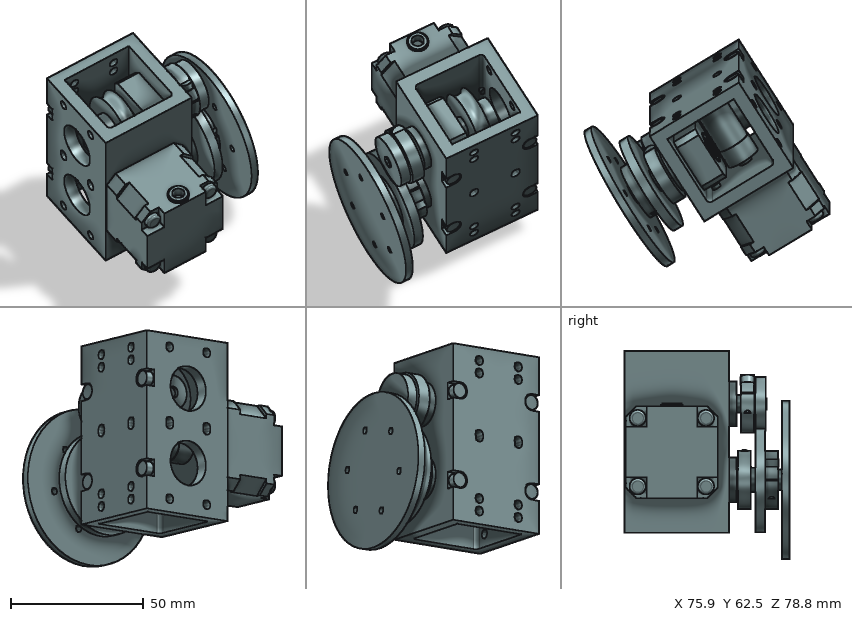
import cadquery as cq
import math


HOUSING_DEPTH = 39.6
HOUSING_BOTTOM = -20.0
HOUSING_TOP = 48.75
HOUSING_MID_Z = (HOUSING_TOP + HOUSING_BOTTOM) / 2
PLATE_LEFT = -20.0
PLATE_THICKNESS = 4.5
PLATE_RIGHT = PLATE_LEFT + PLATE_THICKNESS
HOUSING_RIGHT = 19.05
WALL = 5.0
CAVITY_RADIUS = 1.6
INNER_RIGHT = HOUSING_RIGHT - WALL
BACK_WALL_FRONT = HOUSING_DEPTH - WALL

MOUNT_HOLE_RADIUS = 1.7
MOUNT_SLOT_HEIGHT = 4.6
MOUNT_HALF_PITCH_X = 9.0
MOUNT_HALF_PITCH_Y = 9.0
MOUNT_CENTER_Y = 18.6
MOUNT_HALF_PITCH_Z = 29.3
PLATE_HOLE_HALF_PITCH_Z = 24.4
FRONT_BORE_RADIUS = 8.6

PLATE_SCREW_POCKET_RADIUS = 3.2
PLATE_SCREW_POCKET_DEPTH = 3.5
PLATE_SCREW_HEAD_RADIUS = 2.8
PLATE_SCREW_HEAD_HEIGHT = 3.15
PLATE_SCREW_INSET = 3.2
PLATE_SCREW_HEIGHTS = (-3.9, 30.8)

LOWER_Z = 0.0
UPPER_Z = 28.75
BEARING_RADIUS = 8.5
BEARING_BACK = 42.45
BLOCK_SIZE = 22.05
BLOCK_CHAMFER = 2.2
BLOCK_FRONT = 24.9
SHAFT_RADIUS = 4.0

DISC_RADIUS = 30.0
DISC_FRONT = 59.5
DISC_BACK = 62.5
DISC_HOLE_RADIUS = 1.25
DISC_HOLE_CIRCLE = 17.5
DISC_HOLE_COUNT = 6
DISC_HOLE_START = 12.0

GEAR_FRONT = 49.5
LARGE_GEAR_RADIUS = 19.85
LARGE_GEAR_BACK = 53.2
SMALL_GEAR_RADIUS = 10.2
SMALL_GEAR_BACK = 53.55
LARGE_GEAR_HUB_RADIUS = 4.65
UPPER_NECK_RADIUS = 3.4
UPPER_TIP_RADIUS = 2.2
UPPER_TIP_BACK = 53.9
LOWER_SEAL_RADIUS = 6.4
LOWER_SEAL_FRONT = 24.6
LOWER_SHAFT_FRONT = 23.9
LOWER_BORE_RADIUS = 2.5
SHAFT_BORE_DEPTH = 1.6

COLLAR_RADIUS = 11.0
LOWER_COLLAR_FRONT = 42.9
UPPER_COLLAR_FRONT = 44.1
LOWER_COLLAR_SLIT_ANGLE = 119.0
OUTER_COLLAR_SLIT_ANGLE = 0.0
UPPER_COLLAR_SLIT_ANGLE = 22.0
COLLAR_WIDTH = 4.95
COLLAR_SLIT = 0.6
CLAMP_SCREW_OFFSET = 7.55
CLAMP_FLAT_OFFSET = 8.0
CLAMP_SEAT_DISTANCE = 4.9
CLAMP_HEAD_RADIUS = 2.7
CLAMP_HEAD_END = 7.7
CLAMP_SHANK_RADIUS = 1.5
CLAMP_SHANK_END = 7.2

MOTOR_Y = 17.95
MOTOR_Z = 10.5
MOTOR_SIZE = 34.8
MOTOR_FLANGE_END = 25.7
MOTOR_BODY_END = 38.35
MOTOR_END = 45.9
MOTOR_FLANGE_CHAMFER = 4.0
MOTOR_BODY_CHAMFER = 5.75
MOTOR_SCREW_HALF_PITCH = 12.9
CAP_POCKET_START = 42.1
CAP_POCKET_SIZE = 7.9
CAP_SCREW_HEAD_RADIUS = 3.1
CAP_SCREW_HEAD_HEIGHT = 2.2
CAP_SCREW_HEAD_ROUND = 0.95
SCREW_TIP_RADIUS = 1.65
SCREW_TIP_LENGTH = 1.5
CABLE_X = 41.3
CABLE_RIM_RADIUS = 4.1
CABLE_BUSHING_RADIUS = 3.7
CABLE_HEIGHT = 1.1
CABLE_RIM_HEIGHT = 0.55
CABLE_BORE_RADIUS = 2.4
CABLE_BORE_DEPTH = 3.9

WORM_RADIUS = 6.3
WORM_HUB_RADIUS = 6.5
WORM_HUB_LEFT = 4.95
WORM_LEFT = -12.9
WORM_RIGHT = 12.1
WORM_BEVEL = 0.3
MOTOR_SHAFT_RADIUS = 2.6
WHEEL_RADIUS = 13.2
WHEEL_WAIST_RADIUS = 11.65
WHEEL_FRONT = 15.0
WHEEL_BACK = 21.0
WHEEL_HUB_RADIUS = 6.5
WHEEL_HUB_FRONT = 9.05
WHEEL_BORE_RADIUS = 2.2


def box_between(x0, x1, y0, y1, z0, z1):
    """Box given by its limits along each axis."""
    return cq.Workplane("XY").box(x1 - x0, y1 - y0, z1 - z0, centered=False).translate((x0, y0, z0))


def cylinder_x(radius, x0, x1, y, z):
    return cq.Workplane("YZ", origin=(x0, y, z)).circle(radius).extrude(x1 - x0)


def cylinder_y(radius, y0, y1, z, x=0.0):
    return cq.Workplane("XZ", origin=(x, y0, z)).circle(radius).extrude(y0 - y1)


def make_housing():
    """Channel-shaped housing, open at top and bottom, with the bored front wall."""
    housing = box_between(
        PLATE_RIGHT, HOUSING_RIGHT, 0, HOUSING_DEPTH, HOUSING_BOTTOM, HOUSING_TOP
    )
    cavity = box_between(
        PLATE_RIGHT, INNER_RIGHT, WALL, BACK_WALL_FRONT, HOUSING_BOTTOM, HOUSING_TOP
    )
    housing = housing.cut(cavity.edges("|Z and >X").fillet(CAVITY_RADIUS))
    for z in (LOWER_Z, UPPER_Z):
        housing = housing.cut(cylinder_y(FRONT_BORE_RADIUS, 0, WALL, z))
    for x in (-MOUNT_HALF_PITCH_X, MOUNT_HALF_PITCH_X):
        for dz in (-MOUNT_HALF_PITCH_Z, MOUNT_HALF_PITCH_Z):
            housing = housing.cut(cylinder_y(MOUNT_HOLE_RADIUS, 0, WALL, HOUSING_MID_Z + dz, x))
        slot = (
            cq.Workplane("XZ", origin=(x, 0, HOUSING_MID_Z))
            .slot2D(MOUNT_SLOT_HEIGHT, 2 * MOUNT_HOLE_RADIUS, 90)
            .extrude(-WALL)
        )
        housing = housing.cut(slot)
    return housing


def plate_screw_pocket(y, z, edge_y):
    """Round pocket in the plate's outer face, open to the nearer side edge."""
    pocket_floor = PLATE_LEFT + PLATE_SCREW_POCKET_DEPTH
    pocket = cylinder_x(PLATE_SCREW_POCKET_RADIUS, PLATE_LEFT, pocket_floor, y, z)
    opening = box_between(
        PLATE_LEFT,
        pocket_floor,
        min(y, edge_y),
        max(y, edge_y),
        z - PLATE_SCREW_POCKET_RADIUS,
        z + PLATE_SCREW_POCKET_RADIUS,
    )
    return pocket.union(opening)


def make_cover_plate():
    """Cover plate on the -X side with mounting holes and four screws in open pockets."""
    plate = box_between(PLATE_LEFT, PLATE_RIGHT, 0, HOUSING_DEPTH, HOUSING_BOTTOM, HOUSING_TOP)
    hole_heights = (
        -MOUNT_HALF_PITCH_Z,
        -PLATE_HOLE_HALF_PITCH_Z,
        PLATE_HOLE_HALF_PITCH_Z,
        MOUNT_HALF_PITCH_Z,
    )
    for y in (MOUNT_CENTER_Y - MOUNT_HALF_PITCH_Y, MOUNT_CENTER_Y + MOUNT_HALF_PITCH_Y):
        for dz in hole_heights:
            hole = cylinder_x(MOUNT_HOLE_RADIUS, PLATE_LEFT, PLATE_RIGHT, y, HOUSING_MID_Z + dz)
            plate = plate.cut(hole)
        slot = (
            cq.Workplane("YZ", origin=(PLATE_LEFT, y, HOUSING_MID_Z))
            .slot2D(MOUNT_SLOT_HEIGHT, 2 * MOUNT_HOLE_RADIUS, 90)
            .extrude(PLATE_THICKNESS)
        )
        plate = plate.cut(slot)

    head_base = PLATE_LEFT + PLATE_SCREW_POCKET_DEPTH
    head_top = head_base - PLATE_SCREW_HEAD_HEIGHT
    for z in PLATE_SCREW_HEIGHTS:
        for edge_y, y in (
            (0, PLATE_SCREW_INSET),
            (HOUSING_DEPTH, HOUSING_DEPTH - PLATE_SCREW_INSET),
        ):
            plate = plate.cut(plate_screw_pocket(y, z, edge_y))
            plate = plate.union(cylinder_x(PLATE_SCREW_HEAD_RADIUS, head_top, head_base, y, z))
    return plate


def make_bearing(z):
    """Chamfered bearing block inside the back wall and its round flange behind the wall."""
    half = BLOCK_SIZE / 2
    block = box_between(-half, half, BLOCK_FRONT, BACK_WALL_FRONT, z - half, z + half)
    block = block.edges("|Y").chamfer(BLOCK_CHAMFER)
    return block.union(cylinder_y(BEARING_RADIUS, BACK_WALL_FRONT, BEARING_BACK, z))


def make_collar(front, z, slit_angle):
    """Clamp collar whose radial slit points at slit_angle, in degrees from +X towards +Z."""
    back = front + COLLAR_WIDTH
    middle = front + COLLAR_WIDTH / 2
    collar = cylinder_y(COLLAR_RADIUS, front, back, 0)
    half_slit = COLLAR_SLIT / 2
    collar = collar.cut(box_between(0, COLLAR_RADIUS, front, back, -half_slit, half_slit))
    screw_flat = box_between(
        CLAMP_FLAT_OFFSET, COLLAR_RADIUS, front, back, CLAMP_SEAT_DISTANCE, COLLAR_RADIUS
    )
    collar = collar.cut(screw_flat)

    screw_plane = cq.Workplane("XY", origin=(CLAMP_SCREW_OFFSET, middle, 0))
    head = (
        screw_plane.workplane(offset=CLAMP_SEAT_DISTANCE)
        .circle(CLAMP_HEAD_RADIUS)
        .extrude(CLAMP_HEAD_END - CLAMP_SEAT_DISTANCE)
    )
    shank = (
        screw_plane.workplane(offset=-CLAMP_SHANK_END)
        .circle(CLAMP_SHANK_RADIUS)
        .extrude(CLAMP_SHANK_END + CLAMP_SEAT_DISTANCE)
    )
    collar = collar.union(head).union(shank)
    return collar.rotate((0, 0, 0), (0, 1, 0), -slit_angle).translate((0, 0, z))


def make_disc():
    """Large output disc with a ring of small holes."""
    disc = cylinder_y(DISC_RADIUS, DISC_FRONT, DISC_BACK, LOWER_Z)
    for index in range(DISC_HOLE_COUNT):
        angle = math.radians(DISC_HOLE_START + index * 360 / DISC_HOLE_COUNT)
        x = DISC_HOLE_CIRCLE * math.cos(angle)
        z = LOWER_Z + DISC_HOLE_CIRCLE * math.sin(angle)
        disc = disc.cut(cylinder_y(DISC_HOLE_RADIUS, DISC_FRONT, DISC_BACK, z, x))
    return disc


def make_lower_shaft():
    """Lower shaft with seal ring, two clamp collars, large gear and output disc."""
    parts = [
        cylinder_y(LOWER_SEAL_RADIUS, LOWER_SEAL_FRONT, BLOCK_FRONT, LOWER_Z),
        cylinder_y(LARGE_GEAR_HUB_RADIUS, LOWER_COLLAR_FRONT, GEAR_FRONT, LOWER_Z),
        cylinder_y(LARGE_GEAR_RADIUS, GEAR_FRONT, LARGE_GEAR_BACK, LOWER_Z),
        make_collar(LOWER_COLLAR_FRONT, LOWER_Z, LOWER_COLLAR_SLIT_ANGLE),
        make_collar(LARGE_GEAR_BACK, LOWER_Z, OUTER_COLLAR_SLIT_ANGLE),
        make_disc(),
    ]
    shaft = cylinder_y(SHAFT_RADIUS, LOWER_SHAFT_FRONT, DISC_FRONT, LOWER_Z)
    for part in parts:
        shaft = shaft.union(part)
    bore_end = LOWER_SHAFT_FRONT + SHAFT_BORE_DEPTH
    return shaft.cut(cylinder_y(LOWER_BORE_RADIUS, LOWER_SHAFT_FRONT, bore_end, LOWER_Z))


def make_worm_wheel():
    """Worm wheel with a concave rim and a bored front hub, revolved about the upper axis."""
    middle = (WHEEL_FRONT + WHEEL_BACK) / 2
    wheel = (
        cq.Workplane("XY")
        .moveTo(0, WHEEL_FRONT)
        .lineTo(WHEEL_RADIUS, WHEEL_FRONT)
        .threePointArc((WHEEL_WAIST_RADIUS, middle), (WHEEL_RADIUS, WHEEL_BACK))
        .lineTo(0, WHEEL_BACK)
        .close()
        .revolve(360, (0, 0, 0), (0, 1, 0))
        .translate((0, 0, UPPER_Z))
    )
    wheel = wheel.union(cylinder_y(WHEEL_HUB_RADIUS, WHEEL_HUB_FRONT, WHEEL_FRONT, UPPER_Z))
    bore_end = WHEEL_HUB_FRONT + SHAFT_BORE_DEPTH
    return wheel.cut(cylinder_y(WHEEL_BORE_RADIUS, WHEEL_HUB_FRONT, bore_end, UPPER_Z))


def make_upper_shaft():
    """Upper shaft with worm wheel, one clamp collar and the small gear."""
    collar_back = UPPER_COLLAR_FRONT + COLLAR_WIDTH
    parts = [
        make_worm_wheel(),
        cylinder_y(UPPER_NECK_RADIUS, BEARING_BACK, UPPER_COLLAR_FRONT, UPPER_Z),
        make_collar(UPPER_COLLAR_FRONT, UPPER_Z, UPPER_COLLAR_SLIT_ANGLE),
        cylinder_y(SHAFT_RADIUS, collar_back, GEAR_FRONT, UPPER_Z),
        cylinder_y(SMALL_GEAR_RADIUS, GEAR_FRONT, SMALL_GEAR_BACK, UPPER_Z),
        cylinder_y(UPPER_TIP_RADIUS, SMALL_GEAR_BACK, UPPER_TIP_BACK, UPPER_Z),
    ]
    shaft = cylinder_y(SHAFT_RADIUS, WHEEL_BACK, BLOCK_FRONT, UPPER_Z)
    for part in parts:
        shaft = shaft.union(part)
    return shaft


def motor_section(x0, x1, chamfer):
    """Length of the square motor body with chamfered long edges."""
    return (
        cq.Workplane("YZ", origin=(x0, MOTOR_Y, MOTOR_Z))
        .rect(MOTOR_SIZE, MOTOR_SIZE)
        .extrude(x1 - x0)
        .edges("|X")
        .chamfer(chamfer)
    )


def make_end_cap():
    """Motor end cap with screw heads in square corner pockets and a cable bushing on top."""
    cap = motor_section(MOTOR_BODY_END, CAP_POCKET_START, MOTOR_FLANGE_CHAMFER)
    arm_width = MOTOR_SIZE - 2 * CAP_POCKET_SIZE
    cross = cq.Workplane("YZ", origin=(CAP_POCKET_START, MOTOR_Y, MOTOR_Z))
    arm_length = MOTOR_END - CAP_POCKET_START
    cap = cap.union(cross.rect(MOTOR_SIZE, arm_width).extrude(arm_length))
    cap = cap.union(cross.rect(arm_width, MOTOR_SIZE).extrude(arm_length))
    heads = (
        cross.rect(2 * MOTOR_SCREW_HALF_PITCH, 2 * MOTOR_SCREW_HALF_PITCH, forConstruction=True)
        .vertices()
        .circle(CAP_SCREW_HEAD_RADIUS)
        .extrude(CAP_SCREW_HEAD_HEIGHT)
        .faces(">X")
        .edges()
        .fillet(CAP_SCREW_HEAD_ROUND)
    )
    cap = cap.union(heads)

    cap_top = MOTOR_Z + MOTOR_SIZE / 2
    bushing_base = cq.Workplane("XY", origin=(CABLE_X, MOTOR_Y, cap_top))
    rim = bushing_base.circle(CABLE_RIM_RADIUS).extrude(CABLE_RIM_HEIGHT)
    bushing = bushing_base.circle(CABLE_BUSHING_RADIUS).extrude(CABLE_HEIGHT)
    bore = (
        bushing_base.workplane(offset=CABLE_HEIGHT)
        .circle(CABLE_BORE_RADIUS)
        .extrude(-CABLE_BORE_DEPTH)
    )
    return cap.union(rim).union(bushing).cut(bore)


def make_motor():
    """Motor with its screws through the housing wall and the worm on its shaft."""
    motor = motor_section(HOUSING_RIGHT, MOTOR_FLANGE_END, MOTOR_FLANGE_CHAMFER)
    motor = motor.union(motor_section(MOTOR_FLANGE_END, MOTOR_BODY_END, MOTOR_BODY_CHAMFER))
    motor = motor.union(make_end_cap())
    for dy in (-MOTOR_SCREW_HALF_PITCH, MOTOR_SCREW_HALF_PITCH):
        for dz in (-MOTOR_SCREW_HALF_PITCH, MOTOR_SCREW_HALF_PITCH):
            tip = cylinder_x(
                SCREW_TIP_RADIUS,
                INNER_RIGHT - SCREW_TIP_LENGTH,
                HOUSING_RIGHT,
                MOTOR_Y + dy,
                MOTOR_Z + dz,
            )
            motor = motor.union(tip)
    motor = motor.union(
        cylinder_x(MOTOR_SHAFT_RADIUS, WORM_RIGHT, HOUSING_RIGHT, MOTOR_Y, MOTOR_Z)
    )
    worm = cylinder_x(WORM_RADIUS, WORM_LEFT, WORM_HUB_LEFT, MOTOR_Y, MOTOR_Z)
    worm = worm.faces("<X").edges().chamfer(WORM_BEVEL)
    worm_hub = cylinder_x(WORM_HUB_RADIUS, WORM_HUB_LEFT, WORM_RIGHT, MOTOR_Y, MOTOR_Z)
    return motor.union(worm).union(worm_hub)


result = make_housing().union(make_cover_plate())
for shaft_z in (LOWER_Z, UPPER_Z):
    result = result.union(make_bearing(shaft_z))
result = result.union(make_lower_shaft()).union(make_upper_shaft()).union(make_motor())